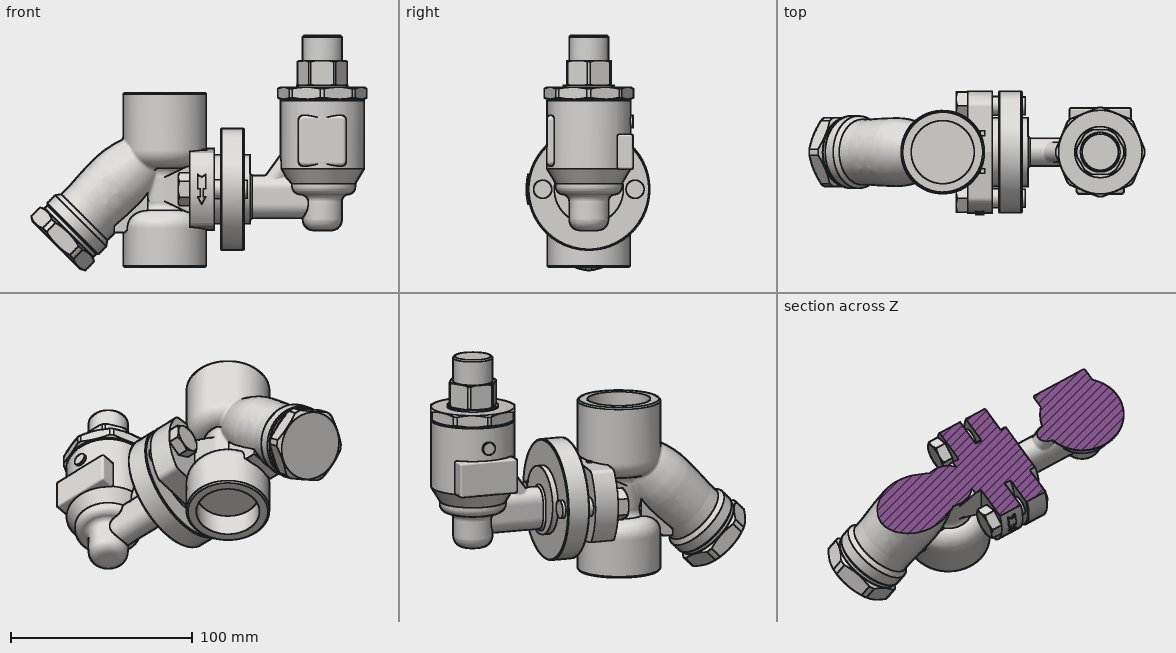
import cadquery as cq
import math


nut_chamfer_angle = 30

socket_radius = 23.0
socket_top = 53.2
socket_bottom = -42.9
socket_chamfer = 1.0
bore_radius = 17.4
bore_depth = 14.2
shoulder_height = 21.3
shoulder_round = 9.6
neck_radius = 11.8
neck_half_height = 6.7

plate_start = 13.9
plate_end = 27.3
flange_start = 30.9
flange_end = 43.6
hub_end = 47.0
flange_radius = 33.54
flange_chamfer = 0.5
hub_radius = 19.0
plate_ridge_height = 22.5
plate_roof_angle = 5.3
plate_corner_round = 3.7
web_half_height = 13.3

bolt_offset = 25.4
bolt_radius = 5.27
bolt_tip_radius = 5.0
bolt_head_flats = 15.5
bolt_head_start = 7.4
bolt_head_end = 16.6
bolt_end = 45.5

plate_stud_x = 21.8
plate_stud_y = 10.3
plate_stud_side = 2.5
plate_stud_height = 0.4

arrow_center_x = 20.3
arrow_half_width = 2.2
arrow_shaft_half_width = 0.7
arrow_top = 8.1
arrow_notch = 1.5
arrow_block_bottom = 0.2
arrow_head_top = -4.0
arrow_tip = -8.3
arrow_height = 1.0

strainer_angle = 45
strainer_axis_height = 28.8
strainer_radius = 18.8
strainer_taper_start = 15.7
strainer_inner_radius = 13.5
strainer_inner_end = -7.4
strainer_spigot_start = 35.3
strainer_spigot_radius = 18.02
strainer_root_round = 1.8
collar_start = 42.1
collar_rim_start = 44.9
collar_end = 52.0
collar_radius = 20.0
collar_chamfer = 0.7
gasket_radius = 19.0
cap_start = 54.1
cap_end = 64.0
cap_flats = 38.0
cap_corner_diameter = 42.1
cap_face_diameter = 37.3

crotch_half_width = 10.2
crotch_outline = [(-27.7, -20.3), (-27.7, -23.8), (-22.2, -23.8), (-16.6, -18.5), (-9.2, -11.6), (-9.2, -1.8)]

trap_x = 86.7
trap_radius = 23.1
trap_top = 48.8
trap_cone_top = 11.3
trap_cone_bottom = 3.1
trap_ring_radius = 18.3
trap_ring_bottom = 1.5
trap_ring_round = 4.5
foot_radius = 10.9
foot_neck_top = -7.2
foot_round = 6.1
foot_bottom = -22.7

seat_radius = 22.5
nut_bottom = 49.5
nut_top = 56.2
nut_flats = 46.2
nut_corner_diameter = 49.2
nut_face_diameter = 46.0
gland_collar_top = 57.1
gland_collar_radius = 14.0
gland_top = 70.5
gland_flats = 24.5
gland_corner_diameter = 27.5
gland_face_diameter = 25.9
stem_radius = 10.9
stem_top = 84.6
stem_chamfer = 1.0

front_pad_half_width = 13.1
front_pad_bottom = 12.8
front_pad_top = 40.7
front_pad_face = 23.1
front_pad_corner = 2.5
front_pad_round = 1.8
back_pad_half_width = 17.0
back_pad_bottom = 10.9
back_pad_top = 30.3
back_pad_face = 24.4
back_pad_round = 1.3
back_stud_radius = 3.5
back_stud_height = 37.3

arm_radius = 7.67
arm_drop = 8.3
arm_flare = 1.1
strut_radius = 5.5
strut_foot_round = 1.5
strut_angle = 54
strut_foot_x = 63.0
strut_foot_z = 8.6
strut_length = 18.5
strut_buried_length = 7.4


def cylinder_x(radius, start, end):
    """Cylinder along X centred on the flange axis."""
    return cq.Workplane("YZ", origin=(start, 0, 0)).circle(radius).extrude(end - start)


def cylinder_z(radius, bottom, top):
    """Cylinder along Z centred on the local origin."""
    return cq.Workplane("XY", origin=(0, 0, bottom)).circle(radius).extrude(top - bottom)


def chamfered_prism(sides, flats, corner_diameter, face_diameter, bottom, top):
    """Nut along Z with a corner on X, its corners turned down and both faces chamfered."""
    across_corners = flats / math.cos(math.pi / sides)
    prism = cq.Workplane("XY", origin=(0, 0, bottom)).polygon(sides, across_corners).extrude(top - bottom)
    corner_radius = corner_diameter / 2
    face_radius = face_diameter / 2
    drop = (corner_radius - face_radius) * math.tan(math.radians(nut_chamfer_angle))
    envelope = (
        cq.Workplane("XZ")
        .polyline([
            (0, bottom),
            (face_radius, bottom),
            (corner_radius, bottom + drop),
            (corner_radius, top - drop),
            (face_radius, top),
            (0, top),
        ])
        .close()
        .revolve(360, (0, 0), (0, 1))
    )
    return prism.intersect(envelope)


def make_socket_body():
    round_end_radius = socket_radius - shoulder_round
    round_end_height = shoulder_height - shoulder_round
    half_root = math.sqrt(0.5)
    root_width = round_end_radius - neck_radius
    root_height = round_end_height - neck_half_height

    def shoulder(side):
        """Convex shoulder and concave root on one side (+1 upper, -1 lower) of the neck."""
        convex_mid = (
            round_end_radius + shoulder_round * half_root,
            side * (shoulder_height - shoulder_round * half_root),
        )
        concave_mid = (
            round_end_radius - root_width * half_root,
            side * (neck_half_height + root_height * half_root),
        )
        return convex_mid, (round_end_radius, side * round_end_height), concave_mid

    low_convex, low_join, low_concave = shoulder(-1)
    high_convex, high_join, high_concave = shoulder(1)
    return (
        cq.Workplane("XZ")
        .moveTo(0, socket_bottom)
        .lineTo(socket_radius - socket_chamfer, socket_bottom)
        .lineTo(socket_radius, socket_bottom + socket_chamfer)
        .lineTo(socket_radius, -shoulder_height)
        .threePointArc(low_convex, low_join)
        .threePointArc(low_concave, (neck_radius, -neck_half_height))
        .lineTo(neck_radius, neck_half_height)
        .threePointArc(high_concave, high_join)
        .threePointArc(high_convex, (socket_radius, shoulder_height))
        .lineTo(socket_radius, socket_top - socket_chamfer)
        .lineTo(socket_radius - socket_chamfer, socket_top)
        .lineTo(0, socket_top)
        .close()
        .revolve(360, (0, 0), (0, 1))
    )


def make_flange_web():
    """Flat-sided web that widens from the neck to the plate."""
    return (
        cq.Workplane("XZ", origin=(0, neck_radius, 0))
        .polyline([
            (0, -neck_half_height),
            (plate_start, -web_half_height),
            (plate_start, web_half_height),
            (0, neck_half_height),
        ])
        .close()
        .extrude(2 * neck_radius)
    )


def make_bores():
    upper = cylinder_z(bore_radius, socket_top - bore_depth, socket_top)
    lower = cylinder_z(bore_radius, socket_bottom, socket_bottom + bore_depth)
    return upper.union(lower)


def make_flanges():
    roof = math.radians(plate_roof_angle)
    corner_turn = math.asin(plate_ridge_height * math.cos(roof) / flange_radius) - roof
    corner_y = flange_radius * math.cos(corner_turn)
    corner_z = flange_radius * math.sin(corner_turn)
    plate = (
        cq.Workplane("YZ", origin=(plate_start, 0, 0))
        .moveTo(0, plate_ridge_height)
        .lineTo(corner_y, corner_z)
        .threePointArc((flange_radius, 0), (corner_y, -corner_z))
        .lineTo(0, -plate_ridge_height)
        .lineTo(-corner_y, -corner_z)
        .threePointArc((-flange_radius, 0), (-corner_y, corner_z))
        .close()
        .extrude(plate_end - plate_start)
    )
    plate = plate.edges("|X").edges(">Y or <Y").fillet(plate_corner_round)
    disc = cylinder_x(flange_radius, flange_start, flange_end).edges().chamfer(flange_chamfer)
    hub = cylinder_x(hub_radius, plate_end, hub_end)
    return plate.union(disc).union(hub)


def make_bolt(y):
    head = (
        chamfered_prism(
            6,
            bolt_head_flats,
            bolt_head_flats / math.cos(math.pi / 6),
            bolt_head_flats,
            bolt_head_start,
            bolt_head_end,
        )
        .rotate((0, 0, 0), (0, 1, 0), 90)
    )
    shank = cylinder_x(bolt_radius, plate_start, flange_end)
    tip = cylinder_x(bolt_tip_radius, flange_end, bolt_end)
    return head.union(shank).union(tip).translate((0, y, 0))


def make_arrow():
    outline = [
        (-arrow_half_width, arrow_top),
        (0, arrow_top - arrow_notch),
        (arrow_half_width, arrow_top),
        (arrow_half_width, arrow_block_bottom),
        (arrow_shaft_half_width, arrow_block_bottom),
        (arrow_shaft_half_width, arrow_head_top),
        (arrow_half_width, arrow_head_top),
        (0, arrow_tip),
        (-arrow_half_width, arrow_head_top),
        (-arrow_shaft_half_width, arrow_head_top),
        (-arrow_shaft_half_width, arrow_block_bottom),
        (-arrow_half_width, arrow_block_bottom),
    ]
    outer_radius = flange_radius + arrow_height
    arrow = (
        cq.Workplane("XZ", origin=(arrow_center_x, -hub_radius, 0))
        .polyline(outline)
        .close()
        .extrude(outer_radius)
    )
    return arrow.intersect(cylinder_x(outer_radius, plate_start, plate_end))


def make_plate_studs():
    roof_drop = plate_stud_y * math.tan(math.radians(plate_roof_angle))
    stud_top = plate_ridge_height - roof_drop + plate_stud_height
    return (
        cq.Workplane("XY", origin=(plate_stud_x, 0, hub_radius))
        .pushPoints([(0, -plate_stud_y), (0, plate_stud_y)])
        .rect(plate_stud_side, plate_stud_side)
        .extrude(stud_top - hub_radius)
    )


def make_strainer():
    """Built along local Z, then laid on the sloping axis."""
    taper_mid = (strainer_taper_start + strainer_inner_end) / 2
    taper_mid_radius = strainer_radius - (strainer_radius - strainer_inner_radius) / 4
    spigot_mid = (strainer_taper_start + strainer_spigot_start) / 2
    spigot_mid_radius = strainer_radius - (strainer_radius - strainer_spigot_radius) / 4
    barrel = (
        cq.Workplane("XZ")
        .moveTo(0, strainer_inner_end)
        .lineTo(strainer_inner_radius, strainer_inner_end)
        .threePointArc((taper_mid_radius, taper_mid), (strainer_radius, strainer_taper_start))
        .threePointArc((spigot_mid_radius, spigot_mid), (strainer_spigot_radius, strainer_spigot_start))
        .lineTo(strainer_spigot_radius, collar_start)
        .lineTo(collar_radius, collar_rim_start)
        .lineTo(collar_radius, collar_end - collar_chamfer)
        .lineTo(collar_radius - collar_chamfer, collar_end)
        .lineTo(gasket_radius, collar_end)
        .lineTo(gasket_radius, cap_start)
        .lineTo(0, cap_start)
        .close()
        .revolve(360, (0, 0), (0, 1))
    )
    cap = chamfered_prism(6, cap_flats, cap_corner_diameter, cap_face_diameter, cap_start, cap_end)
    foot_offset = strainer_axis_height / 2
    return (
        barrel.union(cap)
        .rotate((0, 0, 0), (0, 1, 0), 180 + strainer_angle)
        .translate((-foot_offset, 0, foot_offset))
    )


def make_branched_body():
    """Socket body and strainer with a filleted joint, the crotch filler and the flange web."""
    joined = make_socket_body().union(make_strainer())
    joint_zone = cq.selectors.BoxSelector(
        (-socket_radius, -socket_radius, -neck_half_height),
        (0, socket_radius, strainer_axis_height),
    )
    joined = joined.edges("%BSPLINE").edges(joint_zone).fillet(strainer_root_round)
    filler = (
        cq.Workplane("XZ", origin=(0, crotch_half_width, 0))
        .polyline(crotch_outline)
        .close()
        .extrude(2 * crotch_half_width)
    )
    return joined.union(filler).union(make_flange_web())


def make_trap():
    half_root = math.sqrt(0.5)
    ring_round_end = (trap_ring_radius - trap_ring_round, trap_ring_bottom - trap_ring_round)
    ring_round_mid = (
        ring_round_end[0] + trap_ring_round * half_root,
        trap_ring_bottom - trap_ring_round * half_root,
    )
    root_width = ring_round_end[0] - foot_radius
    root_height = ring_round_end[1] - foot_neck_top
    root_mid = (
        ring_round_end[0] - root_width * half_root,
        foot_neck_top + root_height * half_root,
    )
    foot_mid = (
        foot_radius - foot_round * (1 - half_root),
        foot_bottom + foot_round * (1 - half_root),
    )
    vessel = (
        cq.Workplane("XZ")
        .moveTo(0, foot_bottom)
        .lineTo(foot_radius - foot_round, foot_bottom)
        .threePointArc(foot_mid, (foot_radius, foot_bottom + foot_round))
        .lineTo(foot_radius, foot_neck_top)
        .threePointArc(root_mid, ring_round_end)
        .threePointArc(ring_round_mid, (trap_ring_radius, trap_ring_bottom))
        .lineTo(trap_ring_radius, trap_cone_bottom)
        .lineTo(trap_radius, trap_cone_top)
        .lineTo(trap_radius, trap_top)
        .lineTo(seat_radius, trap_top)
        .lineTo(seat_radius, nut_bottom)
        .lineTo(0, nut_bottom)
        .close()
        .revolve(360, (0, 0), (0, 1))
    )
    nut = chamfered_prism(8, nut_flats, nut_corner_diameter, nut_face_diameter, nut_bottom, nut_top)
    gland_collar = cylinder_z(gland_collar_radius, nut_top, gland_collar_top)
    gland = chamfered_prism(
        6, gland_flats, gland_corner_diameter, gland_face_diameter, gland_collar_top, gland_top
    )
    stem = cylinder_z(stem_radius, gland_top, stem_top).faces(">Z").chamfer(stem_chamfer)
    trap = vessel.union(nut).union(gland_collar).union(gland).union(stem)
    return trap.union(make_pads()).translate((trap_x, 0, 0))


def make_pads():
    front = (
        cq.Workplane("XY")
        .box(2 * front_pad_half_width, front_pad_face, front_pad_top - front_pad_bottom)
        .edges("|Y")
        .fillet(front_pad_corner)
        .edges("<Y")
        .fillet(front_pad_round)
        .translate((0, -front_pad_face / 2, (front_pad_top + front_pad_bottom) / 2))
    )
    back = (
        cq.Workplane("XY")
        .box(2 * back_pad_half_width, back_pad_face, back_pad_top - back_pad_bottom)
        .edges("|Y or >Y")
        .fillet(back_pad_round)
        .translate((0, back_pad_face / 2, (back_pad_top + back_pad_bottom) / 2))
    )
    stud = (
        cq.Workplane("XZ")
        .center(0, back_stud_height)
        .circle(back_stud_radius)
        .extrude(-back_pad_face)
    )
    return front.union(back).union(stud)


def make_arm():
    arm = (
        cq.Workplane("YZ", origin=(flange_end, 0, -arm_drop / 2))
        .slot2D(arm_drop + 2 * arm_radius, 2 * arm_radius, 90)
        .extrude(trap_x - flange_end)
    )
    flare = (
        cq.Workplane("YZ", origin=(hub_end, 0, -arm_drop / 2))
        .slot2D(arm_drop + 2 * (arm_radius + arm_flare), 2 * (arm_radius + arm_flare), 90)
        .extrude(arm_flare, taper=45)
    )
    slope = math.radians(strut_angle)
    strut_axis = cq.Vector(math.cos(slope), 0, math.sin(slope))
    foot = cq.Vector(strut_foot_x, 0, strut_foot_z) - strut_axis * strut_buried_length
    strut = cq.Workplane(
        cq.Solid.makeCylinder(strut_radius, strut_length + strut_buried_length, foot, strut_axis)
    )
    return arm.union(flare).union(strut).edges("%BSPLINE").fillet(strut_foot_round)


result = make_branched_body().union(make_flanges()).cut(make_bores())
result = result.union(make_arrow()).union(make_plate_studs())
for bolt_y in (-bolt_offset, bolt_offset):
    result = result.union(make_bolt(bolt_y))
result = result.union(make_arm()).union(make_trap())